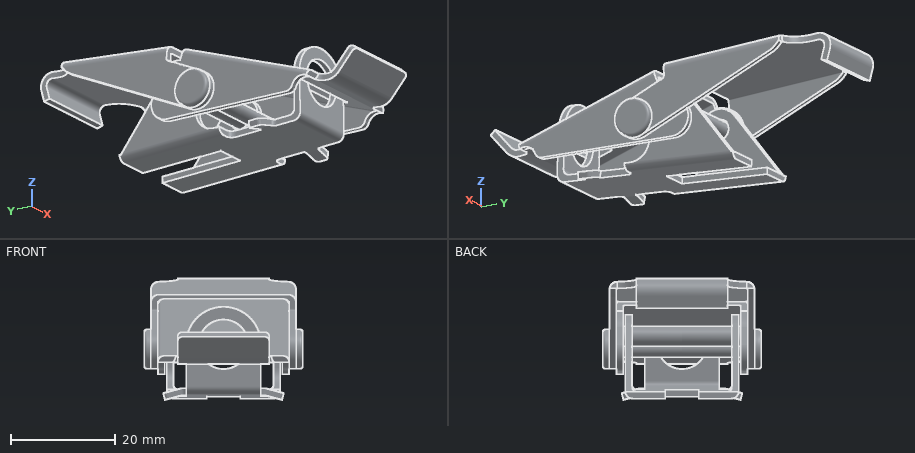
import cadquery as cq
import math


sheet = 1.3
overall_width = 30.5
reach = 89.1

rivet_d = 3.2
rivet_hole_d = 3.4
head_d = 7.65
head_rim_r = 0.6
pin_d = 3.8
pin_hole_d = 4.15
pin_y = 5.95
pin_z = 2.45

hook_tilt = 5.7
hook_half_width = 13.95
hook_top = 9.8
hook_bend_outer = 1.55
hook_bend_inner = 0.2
hook_front = 7.2
hook_rear = 32.4
hook_arm_slope = 19.9
hook_inside_corner_r = 0.6
hook_heel_u = 30.6
hook_heel_run = 0.9
hook_heel_rise = 0.6
hook_eye_r = head_d / 2
hook_neck_half = 8.75
neck_cut_r = 4.8
neck_cut_u = 37.1
curl_start = 38.2
curl_outer_r = 2.6
curl_turn = 111.0
curl_tail = 2.5

lever_tilt = 20.4
lever_half_width = hook_half_width - sheet
lever_top = 7.9
lever_bend_outer = 1.2
lever_bend_inner = 0.2
lever_rear = 6.45
lever_front = -24.95
heel_centre = (5.65, 0.7)
heel_r = 4.75
heel_corner_r = 3.7
toe_u = -22.3
toe_corner_r = 1.5
toe_relief_r = 2.4
wall_bottom_v = -6.8
wall_bottom_slope = 19.0
grip_half_width = 8.75
grip_kink = 12.0
grip_flat = 1.9
grip_bend_inner = 2.1
grip_turn = 56.4
grip_length = 5.6
grip_corner_r = 1.0
grip_root_r = 1.1
window_half_width = 7.95
window_length = 4.75
window_u = -17.4
window_corner_r = 0.45

base_tilt = -1.2
base_half_width = 10.9
base_bottom = -9.1
base_bend_outer = 1.5
base_bend_inner = 0.9
base_rear = 20.0
flank_foot_u = 19.6
ear_front = -3.65
ear_r = 4.15
ear_foot_r = 4.2
base_neck_half = 7.2
neck_root_r = 1.3
floor_slot_half = 3.2
floor_slot_end = 1.5
ring_face = -20.2
ring_bend_inner = 1.25
ring_bend_outer = 1.5
ring_v = 0.5
ring_hole_d = 9.5
tab_rear = -10.8
tab_front = -13.65
tab_hinge_x = 8.1
tab_length = 3.65
tab_angle = 15.0
tab_corner_r = 0.75
tab_root_r = 0.9


def polar(start, distance, degrees):
    """Point at a distance from another point, along a direction in degrees."""
    a = math.radians(degrees)
    return (start[0] + distance * math.cos(a), start[1] + distance * math.sin(a))


def to_local(y, z, tilt):
    """World (Y, Z) expressed in a frame tilted about the rivet axis."""
    a = math.radians(tilt)
    return (y * math.cos(a) + z * math.sin(a), z * math.cos(a) - y * math.sin(a))


def tilted(body, tilt):
    return body.rotate((0, 0, 0), (1, 0, 0), tilt)


def across(outline, half_width):
    """Extrude a closed (u, v) outline symmetrically across X."""
    return outline.close().extrude(half_width, both=True)


def block(x0, x1, u0, u1, v0, v1):
    return cq.Workplane("XY").box(x1 - x0, u1 - u0, v1 - v0, centered=False).translate((x0, u0, v0))


def both_sides(body):
    return body.union(body.mirror("YZ"))


def cross_hole(diameter, u, v):
    return cq.Workplane("YZ").center(u, v).circle(diameter / 2).extrude(reach, both=True)


def channel_blank(half_width, face_v, bend_outer, bend_inner, open_down):
    """Long U-section with rounded bends; face_v is the outer face of its plate."""
    plate_edges = ">Z" if open_down else "<Z"
    inner_half = half_width - sheet
    toward_open = -1 if open_down else 1
    inner_v = face_v + toward_open * sheet
    far_v = face_v + toward_open * reach
    outer = block(-half_width, half_width, -reach, reach, min(face_v, far_v), max(face_v, far_v))
    outer = outer.faces(plate_edges).edges("|Y").fillet(bend_outer)
    inner = block(-inner_half, inner_half, -reach, reach, min(inner_v, far_v), max(inner_v, far_v))
    inner = inner.faces(plate_edges).edges("|Y").fillet(bend_inner)
    return outer.cut(inner)


def root_webs(x_neck, x_shoulder, u_shoulder, u_tangent, radius, v0):
    """Concave corner fills, on both sides, where a plate narrows to a neck."""
    u0, u1 = sorted((u_shoulder, u_tangent))
    web = block(x_neck, x_shoulder, u0, u1, v0, v0 + sheet)
    cutter = cq.Workplane("XY").center(x_neck + radius, u_tangent).circle(radius).extrude(reach, both=True)
    return both_sides(web.cut(cutter))


def hook_walls():
    slope = math.tan(math.radians(hook_arm_slope))
    edge_rise = hook_eye_r / math.cos(math.radians(hook_arm_slope))
    upper_corner = (hook_front, hook_front * slope + edge_rise)
    heel = (hook_heel_u, hook_heel_u * slope - edge_rise)
    heel_mid = (heel[0] + hook_heel_run, heel[1] + hook_heel_rise)
    heel_end = (hook_rear, hook_top - sheet)
    eye = (0, 0)
    above_plate = hook_top + sheet
    outline = (
        cq.Workplane("YZ").moveTo(hook_front, above_plate).lineTo(*upper_corner)
        .lineTo(*polar(eye, hook_eye_r, 90 + hook_arm_slope))
        .threePointArc(polar(eye, hook_eye_r, 180 + hook_arm_slope),
                       polar(eye, hook_eye_r, 270 + hook_arm_slope))
        .lineTo(*heel).threePointArc(heel_mid, heel_end).lineTo(hook_rear, above_plate)
    )
    blank = channel_blank(hook_half_width, hook_top, hook_bend_outer, hook_bend_inner, True)
    side = across(outline, hook_half_width)
    corner_edge = cq.selectors.NearestToPointSelector((0, *upper_corner))
    side = side.edges("|X").edges(corner_edge).fillet(hook_inside_corner_r)
    return blank.intersect(side)


def hook_curl():
    centre = (curl_start, hook_top - curl_outer_r)
    inner_r = curl_outer_r - sheet
    end_angle = 90 - curl_turn
    mid_angle = 90 - curl_turn / 2
    outer_end = polar(centre, curl_outer_r, end_angle)
    inner_end = polar(centre, inner_r, end_angle)
    outline = (
        cq.Workplane("YZ").moveTo(hook_rear, hook_top).lineTo(curl_start, hook_top)
        .threePointArc(polar(centre, curl_outer_r, mid_angle), outer_end)
        .lineTo(*polar(outer_end, curl_tail, -curl_turn))
        .lineTo(*polar(inner_end, curl_tail, -curl_turn))
        .lineTo(*inner_end)
        .threePointArc(polar(centre, inner_r, mid_angle), (curl_start, hook_top - sheet))
        .lineTo(hook_rear, hook_top - sheet)
    )
    return across(outline, hook_neck_half)


def make_hook():
    shoulder_half = hook_half_width - hook_bend_outer
    webs = root_webs(hook_neck_half, shoulder_half, hook_rear, neck_cut_u, neck_cut_r, hook_top - sheet)
    hook = hook_walls().union(hook_curl().union(webs)).cut(cross_hole(rivet_hole_d, 0, 0))
    return tilted(hook, hook_tilt)


def lever_walls():
    under = lever_top - sheet
    slope = math.tan(math.radians(wall_bottom_slope))
    heel_u = heel_centre[0] + heel_r
    heel_bottom = wall_bottom_v - (heel_u - lever_rear) * slope
    toe_bottom = wall_bottom_v + (lever_rear - toe_u) * slope
    heel_top_v = heel_centre[1] + math.sqrt(heel_r**2 - (lever_rear - heel_centre[0])**2)
    heel_top = (lever_rear, heel_top_v)
    relief_centre = (toe_u - toe_relief_r, under - toe_relief_r)
    outline = (
        cq.Workplane("YZ").moveTo(lever_front, lever_top).lineTo(lever_rear, lever_top).lineTo(*heel_top)
        .threePointArc(polar(heel_centre, heel_r, 45), (heel_u, heel_centre[1]))
        .lineTo(heel_u, heel_bottom).lineTo(toe_u, toe_bottom).lineTo(toe_u, relief_centre[1])
        .threePointArc(polar(relief_centre, toe_relief_r, 45), (relief_centre[0], under))
        .lineTo(lever_front, under)
    )
    side = across(outline, lever_half_width)
    heel_edge = cq.selectors.NearestToPointSelector((0, heel_u, heel_bottom))
    toe_edge = cq.selectors.NearestToPointSelector((0, toe_u, toe_bottom))
    side = side.edges("|X").edges(heel_edge).fillet(heel_corner_r)
    side = side.edges("|X").edges(toe_edge).fillet(toe_corner_r)
    blank = channel_blank(lever_half_width, lever_top, lever_bend_outer, lever_bend_inner, True)
    return blank.intersect(side)


def lever_grip():
    """Grip drawn flat at the shoulder and then kinked upward about its lower edge."""
    under = lever_top - sheet
    bend_u = lever_front - grip_flat
    centre = (bend_u, lever_top + grip_bend_inner)
    outer_r = grip_bend_inner + sheet
    end_angle = 270 - grip_turn
    mid_angle = 270 - grip_turn / 2
    direction = 180 - grip_turn
    inner_end = polar(centre, grip_bend_inner, end_angle)
    outer_end = polar(centre, outer_r, end_angle)
    outline = (
        cq.Workplane("YZ").moveTo(lever_front, under).lineTo(bend_u, under)
        .threePointArc(polar(centre, outer_r, mid_angle), outer_end)
        .lineTo(*polar(outer_end, grip_length, direction))
        .lineTo(*polar(inner_end, grip_length, direction))
        .lineTo(*inner_end)
        .threePointArc(polar(centre, grip_bend_inner, mid_angle), (bend_u, lever_top))
        .lineTo(lever_front, lever_top)
    )
    corner_axis = cq.Vector(0, *polar((0, 0), 1, end_angle))
    end_corners = cq.selectors.ParallelDirSelector(corner_axis)
    grip = across(outline, grip_half_width).faces(">Z").edges(end_corners).fillet(grip_corner_r)
    webs = root_webs(grip_half_width, grip_half_width + grip_root_r, lever_front,
                     lever_front - grip_root_r, grip_root_r, under)
    kink_point = (0, lever_front, under)
    return grip.union(webs).rotate(kink_point, (1, lever_front, under), -grip_kink)


def lever_window():
    window = block(-window_half_width, window_half_width, window_u - window_length / 2,
                   window_u + window_length / 2, lever_top - sheet, lever_top)
    return window.edges("|Z").fillet(window_corner_r)


def make_lever():
    lever = lever_walls().union(lever_grip()).cut(lever_window())
    lever = lever.cut(cross_hole(rivet_hole_d, 0, 0))
    lever = lever.cut(cross_hole(pin_hole_d, *to_local(pin_y, pin_z, lever_tilt)))
    return tilted(lever, lever_tilt)


base_floor = base_bottom + sheet
base_pin = to_local(pin_y, pin_z, base_tilt)


def base_ears():
    rear_offset = (flank_foot_u - base_pin[0], base_floor - base_pin[1])
    rear_angle = math.degrees(math.atan2(rear_offset[1], rear_offset[0]))
    tangent_angle = rear_angle + math.degrees(math.acos(ear_r / math.hypot(*rear_offset)))
    ear_u = base_pin[0] - ear_r
    foot_centre = (ear_u - ear_foot_r, base_floor + ear_foot_r)
    outline = (
        cq.Workplane("YZ").moveTo(ear_front, base_bottom).lineTo(base_rear, base_bottom)
        .lineTo(base_rear, base_floor).lineTo(flank_foot_u, base_floor)
        .lineTo(*polar(base_pin, ear_r, tangent_angle))
        .threePointArc(polar(base_pin, ear_r, 90), (ear_u, base_pin[1]))
        .lineTo(ear_u, foot_centre[1])
        .threePointArc(polar(foot_centre, ear_foot_r, -45), (foot_centre[0], base_floor))
        .lineTo(ear_front, base_floor)
    )
    blank = channel_blank(base_half_width, base_bottom, base_bend_outer, base_bend_inner, False)
    return blank.intersect(across(outline, base_half_width))


def base_neck_and_ring():
    ring_back = ring_face + sheet
    outer_centre = (ring_face + ring_bend_outer, base_bottom + ring_bend_outer)
    inner_centre = (ring_back + ring_bend_inner, base_floor + ring_bend_inner)
    ring_top = ring_v + base_neck_half
    outline = (
        cq.Workplane("YZ").moveTo(ear_front, base_bottom).lineTo(outer_centre[0], base_bottom)
        .threePointArc(polar(outer_centre, ring_bend_outer, 225), (ring_face, outer_centre[1]))
        .lineTo(ring_face, ring_top).lineTo(ring_back, ring_top).lineTo(ring_back, inner_centre[1])
        .threePointArc(polar(inner_centre, ring_bend_inner, 225), (inner_centre[0], base_floor))
        .lineTo(ear_front, base_floor)
    )
    strip = across(outline, base_neck_half)
    round_top = cq.Workplane("XZ").center(0, ring_v).circle(base_neck_half).extrude(reach, both=True)
    below_ring = block(-base_neck_half, base_neck_half, -reach, reach, base_bottom, ring_v)
    hole = cq.Workplane("XZ").center(0, ring_v).circle(ring_hole_d / 2).extrude(reach, both=True)
    return strip.intersect(round_top.union(below_ring)).cut(hole)


def base_tabs():
    hinge_top = (tab_hinge_x, base_floor)
    tip_top = polar(hinge_top, tab_length, -tab_angle)
    tip_bottom = polar(tip_top, sheet, -90 - tab_angle)
    bend_shift = sheet * math.tan(math.radians(tab_angle / 2))
    hinge_bottom = (tab_hinge_x - bend_shift, base_bottom)
    tab = (
        cq.Workplane("XZ", origin=(0, tab_rear, 0)).moveTo(base_neck_half, base_floor)
        .lineTo(*hinge_top).lineTo(*tip_top).lineTo(*tip_bottom).lineTo(*hinge_bottom)
        .lineTo(base_neck_half, base_bottom).close().extrude(tab_rear - tab_front)
    )
    tip_normal = polar((0, 0), 1, 90 - tab_angle)
    tip_corners = cq.selectors.ParallelDirSelector(cq.Vector(tip_normal[0], 0, tip_normal[1]))
    return both_sides(tab.edges(tip_corners).fillet(tab_corner_r))


def make_base():
    neck_webs = root_webs(base_neck_half, base_neck_half + neck_root_r, ear_front,
                          ear_front - neck_root_r, neck_root_r, base_bottom)
    tab_webs = root_webs(base_neck_half, base_neck_half + tab_root_r, tab_front,
                         tab_front - tab_root_r, tab_root_r, base_bottom)
    slot = block(-floor_slot_half, floor_slot_half, floor_slot_end, base_rear, base_bottom, base_floor)
    base = base_ears().union(base_neck_and_ring()).union(neck_webs)
    base = base.union(base_tabs()).union(tab_webs).cut(slot)
    return tilted(base.cut(cross_hole(pin_hole_d, *base_pin)), base_tilt)


def make_rivet():
    """Headed rivet through the hook and the lever, a head outside each hook wall."""
    shank = cq.Workplane("YZ").circle(rivet_d / 2).extrude(hook_half_width, both=True)
    head_thickness = overall_width / 2 - hook_half_width
    head = cq.Workplane("YZ", origin=(hook_half_width, 0, 0)).circle(head_d / 2).extrude(head_thickness)
    head = head.faces(">X").edges().fillet(head_rim_r)
    return shank.union(both_sides(head))


def make_pin():
    """Plain pin through the lever and the base ears, flush with the lever walls."""
    return cq.Workplane("YZ").center(pin_y, pin_z).circle(pin_d / 2).extrude(lever_half_width, both=True)


hook = make_hook()
lever = make_lever()
base = make_base()
rivet = make_rivet()
pin = make_pin()

result = cq.Compound.makeCompound([hook.val(), lever.val(), base.val(), rivet.val(), pin.val()])